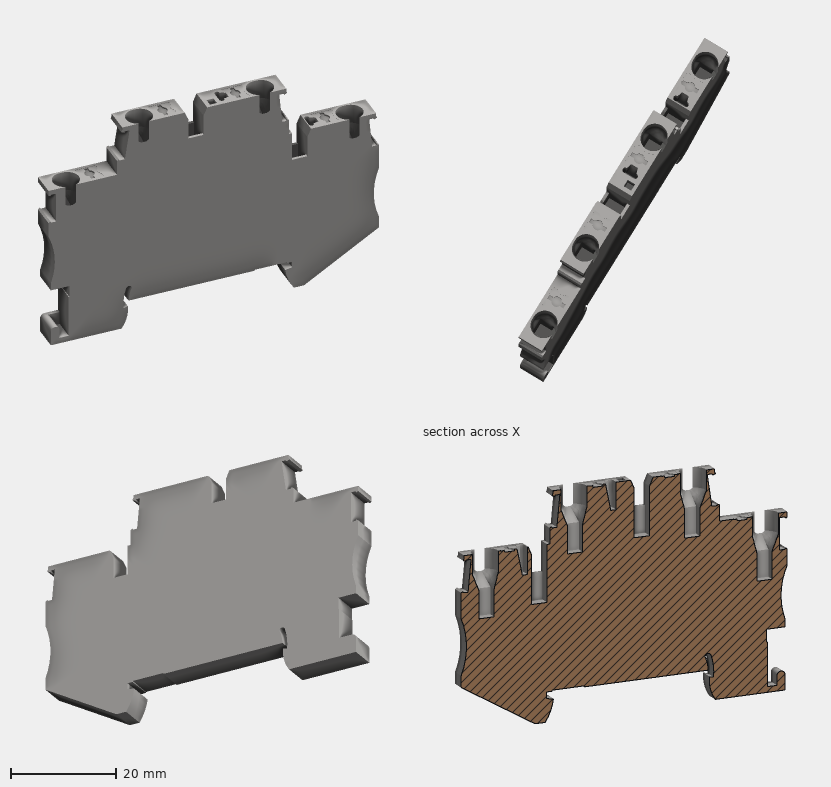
import cadquery as cq

WIDTH = 5.2
LENGTH = 68.15
HEIGHT = 45.85
LOWER_TOP = 35.4
UPPER_FRONT = 14.1
UPPER_BACK = 49.6
BAY_X = 2.6
BAY_WIDTH = 3.95

SEAT_Z = 6.0
SEAT_RELIEF_Z = 6.2
SEAT_RELIEF_FRONT = 42.45
SEAT_RELIEF_BACK = 49.15
RAIL_LIP_Z = 4.8
FIXED_HOOK_TIP = (48.8, 4.5)
FIXED_HOOK_BELLY = (49.5, 2.0)
FIXED_HOOK_ROOT_Y = 50.2
FIXED_FOOT_FRONT = 50.6
FIXED_FOOT_BACK = 52.7
UNDERSIDE_SLOPE_TOP = 9.2
SPRING_FOOT_BACK = 15.05
SPRING_HOOK_Y = 16.35
SPRING_HOOK_BELLY = (15.95, 1.65)
SPRING_HOOK_BASE_Z = 3.4

SLIT_MOUTH_Y = 16.5
SLIT_SEAT_SIDE = ((16.7, 7.5), (17.2, 8.85))
SLIT_END = ((16.6, 9.35), (16.0, 9.0))
SLIT_HOOK_SIDE = ((15.55, 6.95), (15.5, 4.6))

RELEASE_FRONT = 0.5
RELEASE_TOP = 3.95
RELEASE_ROUND = 0.9
RELEASE_BAR = 2 * RELEASE_ROUND
RELEASE_SKIN = 0.8
RELEASE_PIT_DEPTH = 2.7
RELEASE_NOTCH_Y = 4.15
RELEASE_STEP_Y = 4.3
RELEASE_STEP_Z = 10.1
RELEASE_NOTCH_TOP = 12.55

FRONT_GRIP = ((RELEASE_FRONT, 14.2), (1.3, 19.2), (0.0, 24.8))
BACK_GRIP = ((LENGTH, 22.8), (67.05, 17.5), (LENGTH, 11.6))

MARKER_LIP = 1.0
MARKER_LIP_STRAIGHT = 0.55
MARKER_LIP_FLARE = 0.2
MARKER_LEDGE = 7.35
MARKER_BEAD_WIDTH = 0.55
MARKER_BEAD = 0.3
MARKER_BEAD_RUN = 0.15

JUMPER_WIDTH = 3.15
JUMPER_DEPTH = 6.05
JUMPER_FLARE = 0.75
JUMPER_FLARE_DEPTH = 1.7
JUMPER_POCKET_DEPTH = 5.45
UPPER_JUMPER_Y = 30.4
LOWER_JUMPER_Y = 51.8

ENTRY_X = 2.85
ENTRY_RADIUS = 2.45
ENTRY_LENGTH = 5.4
ENTRY_DEPTH = 4.1
FUNNEL_DEPTH = 3.4
CLAMP_X = 2.5
CLAMP_SIZE = 3.1
CLAMP_SHIFT = 0.24
CLAMP_DEPTH = 5.45

BUTTON_NEAR = 2.8
BUTTON_FAR = 7.1
BUTTON_STEP = 0.1
BUTTON_HOLLOW_RADIUS = 3.24
BUTTON_NOTCH_RADIUS = 1.2
BUTTON_NOTCH_DEPTH = 0.5
DRIVER_SLOT_OFFSET = 5.0
DRIVER_SLOT_LENGTH = 3.55
DRIVER_SLOT_WIDTH = 0.8
DRIVER_DIMPLE_RADIUS = 0.99
DRIVER_DEPTH = 0.4

TEST_SLOT_OFFSET = 8.25
TEST_SLOT_LENGTH = 3.3
TEST_SLOT_WIDTH = 1.0
TEST_SLOT_DEPTH = 5.45
RAMP_START = BUTTON_FAR - BUTTON_NOTCH_DEPTH
RAMP_NEAR_WIDTH = 1.4
RAMP_FAR_WIDTH = 2.45

WINDOW_X = 3.7
WINDOW_Y = 34.3
WINDOW_LENGTH_X = 1.65
WINDOW_LENGTH_Y = 1.4
WINDOW_DEPTH = 2.7

CLEARANCE = 0.7

ENTRIES = (
    (63.05, LOWER_TOP, -1, True),
    (44.6, HEIGHT, -1, True),
    (19.6, HEIGHT, 1, False),
    (4.6, LOWER_TOP, 1, False),
)

MARKERS = (
    (0.0, 1, LOWER_TOP, 0.0, 1.6, 1.6),
    (UPPER_FRONT, 1, HEIGHT, 1.1, 2.6, 1.65),
    (UPPER_BACK, -1, HEIGHT, 0.6, 2.05, 1.4),
    (LENGTH, -1, LOWER_TOP, 0.6, 2.05, 1.4),
)


def side_prism(points):
    """Polygon in the YZ plane carried across the full width."""
    return cq.Workplane("YZ").polyline(points).close().extrude(WIDTH)


def plan_at(height):
    """Horizontal sketch plane at the given height."""
    return cq.Workplane("XY", origin=(0, 0, height))


def box_down(x, y, size_x, size_y, top, depth):
    """Rectangular pocket cutter reaching down from the given height."""
    return plan_at(top).center(x, y).rect(size_x, size_y).extrude(-depth)


def housing():
    """Stepped side outline with grips, rail feet and the release foot."""
    return (
        cq.Workplane("YZ")
        .moveTo(RELEASE_FRONT, 0)
        .lineTo(RELEASE_FRONT, RELEASE_TOP - RELEASE_ROUND)
        .tangentArcPoint((RELEASE_FRONT + RELEASE_ROUND, RELEASE_TOP), relative=False)
        .lineTo(RELEASE_NOTCH_Y, RELEASE_TOP)
        .lineTo(RELEASE_NOTCH_Y, RELEASE_STEP_Z)
        .lineTo(RELEASE_STEP_Y, RELEASE_STEP_Z)
        .lineTo(RELEASE_STEP_Y, RELEASE_NOTCH_TOP)
        .lineTo(RELEASE_FRONT, RELEASE_NOTCH_TOP)
        .lineTo(*FRONT_GRIP[0])
        .threePointArc(FRONT_GRIP[1], FRONT_GRIP[2])
        .lineTo(0, LOWER_TOP)
        .lineTo(UPPER_FRONT, LOWER_TOP)
        .lineTo(UPPER_FRONT, HEIGHT)
        .lineTo(UPPER_BACK, HEIGHT)
        .lineTo(UPPER_BACK, LOWER_TOP)
        .lineTo(LENGTH, LOWER_TOP)
        .lineTo(*BACK_GRIP[0])
        .threePointArc(BACK_GRIP[1], BACK_GRIP[2])
        .lineTo(LENGTH, UNDERSIDE_SLOPE_TOP)
        .lineTo(FIXED_FOOT_BACK, 0)
        .lineTo(FIXED_FOOT_FRONT, 0)
        .threePointArc(FIXED_HOOK_BELLY, FIXED_HOOK_TIP)
        .lineTo(FIXED_HOOK_ROOT_Y, RAIL_LIP_Z)
        .lineTo(FIXED_HOOK_ROOT_Y, SEAT_Z)
        .lineTo(SEAT_RELIEF_BACK, SEAT_Z)
        .lineTo(SEAT_RELIEF_BACK, SEAT_RELIEF_Z)
        .lineTo(SEAT_RELIEF_FRONT, SEAT_RELIEF_Z)
        .lineTo(SEAT_RELIEF_FRONT, SEAT_Z)
        .lineTo(SLIT_MOUTH_Y, SEAT_Z)
        .threePointArc(SLIT_SEAT_SIDE[0], SLIT_SEAT_SIDE[1])
        .threePointArc(SLIT_END[0], SLIT_END[1])
        .threePointArc(SLIT_HOOK_SIDE[0], SLIT_HOOK_SIDE[1])
        .lineTo(SPRING_HOOK_Y, RAIL_LIP_Z)
        .lineTo(SPRING_HOOK_Y, SPRING_HOOK_BASE_Z)
        .threePointArc(SPRING_HOOK_BELLY, (SPRING_FOOT_BACK, 0))
        .close()
        .extrude(WIDTH)
    )


def release_pit():
    """Pit between the round-topped bar and the notch wall, with the bar's inner edge rounded."""
    bar_back = RELEASE_FRONT + RELEASE_BAR
    pit_floor = RELEASE_TOP - RELEASE_PIT_DEPTH
    return (
        cq.Workplane("YZ", origin=(RELEASE_SKIN, 0, 0))
        .moveTo(RELEASE_NOTCH_Y, RELEASE_TOP)
        .lineTo(RELEASE_NOTCH_Y, pit_floor)
        .lineTo(bar_back, pit_floor)
        .lineTo(bar_back, RELEASE_TOP - RELEASE_ROUND)
        .tangentArcPoint((bar_back - RELEASE_ROUND, RELEASE_TOP), relative=False)
        .close()
        .extrude(WIDTH - RELEASE_SKIN)
    )


def marker_groove(face_y, inward, top, lip_setback, depth_top, depth_bottom):
    """Groove for a marker strip, leaving a beaded lip above a beaded ledge."""
    under_lip = top - MARKER_LIP
    ledge = top - MARKER_LEDGE
    lip_bead_end = lip_setback + MARKER_BEAD_WIDTH
    profile = [
        (-CLEARANCE, top + CLEARANCE),
        (lip_setback, top + CLEARANCE),
        (lip_setback, top - MARKER_LIP_STRAIGHT),
        (lip_setback - MARKER_LIP_FLARE, under_lip),
        (lip_bead_end - MARKER_BEAD_RUN, under_lip - MARKER_BEAD),
        (lip_bead_end, under_lip),
        (depth_top, under_lip),
        (depth_bottom, ledge),
        (MARKER_BEAD_WIDTH, ledge),
        (MARKER_BEAD_WIDTH - MARKER_BEAD_RUN, ledge + MARKER_BEAD),
        (0, ledge),
        (-CLEARANCE, ledge),
    ]
    return side_prism([(face_y + inward * depth, z) for depth, z in profile])


def jumper_slot(y, top, flare_front):
    """Cross slot with a flared mouth and a contact pocket in its floor."""
    front = y - JUMPER_WIDTH / 2
    back = y + JUMPER_WIDTH / 2
    floor = top - JUMPER_DEPTH
    flare_z = top - JUMPER_FLARE_DEPTH
    slot = side_prism([
        (front, floor),
        (front, flare_z),
        (front - flare_front, top),
        (back + JUMPER_FLARE, top),
        (back, flare_z),
        (back, floor),
    ])
    pocket = box_down(BAY_X, y, BAY_WIDTH, JUMPER_WIDTH, floor, JUMPER_POCKET_DEPTH)
    return slot.union(pocket)


def wire_entry(y, top, toward_button):
    """Oblong entry that funnels down into a square clamp shaft."""
    funnel_top = top - ENTRY_DEPTH
    funnel_bottom = funnel_top - FUNNEL_DEPTH
    clamp_y = y + toward_button * CLAMP_SHIFT
    bore = (
        plan_at(top)
        .center(ENTRY_X, y)
        .slot2D(ENTRY_LENGTH, 2 * ENTRY_RADIUS, 90)
        .extrude(-ENTRY_DEPTH)
    )
    funnel = (
        plan_at(funnel_top)
        .center(ENTRY_X, y)
        .slot2D(ENTRY_LENGTH, 2 * ENTRY_RADIUS, 90)
        .workplane(offset=-FUNNEL_DEPTH)
        .center(CLAMP_X - ENTRY_X, clamp_y - y)
        .rect(CLAMP_SIZE, CLAMP_SIZE)
        .loft()
    )
    shaft = box_down(CLAMP_X, clamp_y, CLAMP_SIZE, CLAMP_SIZE, funnel_bottom, CLAMP_DEPTH)
    return bore.union(funnel).union(shaft)


def push_button(y, top, toward_button):
    """Slightly sunk button with a concave end and a screwdriver slot."""
    middle = y + toward_button * (BUTTON_NEAR + BUTTON_FAR) / 2
    slot_y = y + toward_button * DRIVER_SLOT_OFFSET
    hollow = plan_at(top).center(ENTRY_X, y).circle(BUTTON_HOLLOW_RADIUS).extrude(-BUTTON_STEP)
    notch_y = y + toward_button * (BUTTON_FAR - BUTTON_NOTCH_DEPTH + BUTTON_NOTCH_RADIUS)
    notch = plan_at(top).center(BAY_X, notch_y).circle(BUTTON_NOTCH_RADIUS).extrude(-BUTTON_STEP)
    face = box_down(BAY_X, middle, BAY_WIDTH, BUTTON_FAR - BUTTON_NEAR, top, BUTTON_STEP)
    slot = box_down(BAY_X, slot_y, DRIVER_SLOT_LENGTH, DRIVER_SLOT_WIDTH, top, DRIVER_DEPTH)
    dimple = plan_at(top).center(BAY_X, slot_y).circle(DRIVER_DIMPLE_RADIUS).extrude(-DRIVER_DEPTH)
    return face.cut(hollow).cut(notch).union(slot).union(dimple)


def test_opening(y, top, toward_button):
    """Round-ended slot with a widening ramp leading into it from the button."""
    slot_y = y + toward_button * TEST_SLOT_OFFSET
    slot = (
        plan_at(top)
        .center(BAY_X, slot_y)
        .slot2D(TEST_SLOT_LENGTH, TEST_SLOT_WIDTH)
        .extrude(-TEST_SLOT_DEPTH)
    )
    ramp_y = y + toward_button * RAMP_START
    flare = (
        plan_at(top)
        .polyline([
            (BAY_X - RAMP_NEAR_WIDTH / 2, ramp_y),
            (BAY_X + RAMP_NEAR_WIDTH / 2, ramp_y),
            (BAY_X + RAMP_FAR_WIDTH / 2, slot_y),
            (BAY_X - RAMP_FAR_WIDTH / 2, slot_y),
        ])
        .close()
        .extrude(-TEST_SLOT_DEPTH)
    )
    ramp_end = y + toward_button * (TEST_SLOT_OFFSET - TEST_SLOT_WIDTH / 2)
    ramp = side_prism([
        (ramp_y, top),
        (ramp_end, top - TEST_SLOT_DEPTH),
        (slot_y, top - TEST_SLOT_DEPTH),
        (slot_y, top),
    ])
    return slot.union(flare.intersect(ramp))


result = housing().cut(release_pit())

for marker in MARKERS:
    result = result.cut(marker_groove(*marker))

result = result.cut(jumper_slot(UPPER_JUMPER_Y, HEIGHT, JUMPER_FLARE))
result = result.cut(jumper_slot(LOWER_JUMPER_Y, LOWER_TOP, 0))

for entry_y, entry_top, button_side, has_test_opening in ENTRIES:
    result = result.cut(wire_entry(entry_y, entry_top, button_side))
    result = result.cut(push_button(entry_y, entry_top, button_side))
    if has_test_opening:
        result = result.cut(test_opening(entry_y, entry_top, button_side))

result = result.cut(
    box_down(WINDOW_X, WINDOW_Y, WINDOW_LENGTH_X, WINDOW_LENGTH_Y, HEIGHT, WINDOW_DEPTH)
)